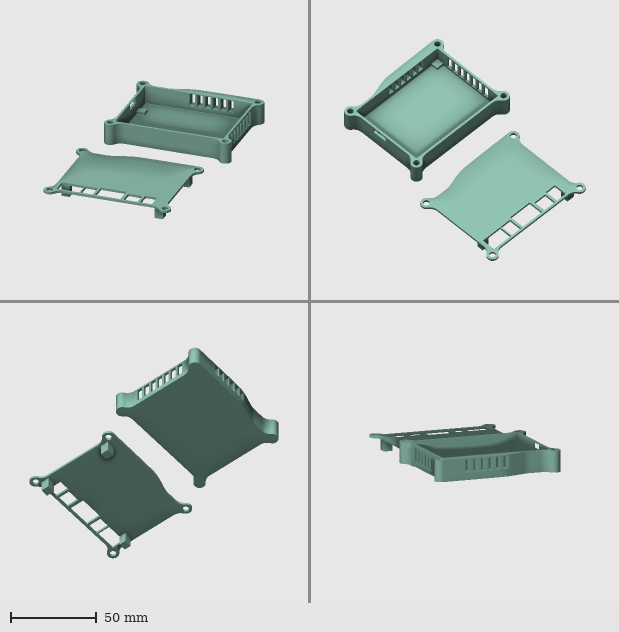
import cadquery as cq
import math

cavity_x = 66.9
cavity_y = 50.1
wall = 1.4
tray_height = 13.0
floor_thickness = 1.5

boss_offset = 2.3
boss_radius = 3.6
large_boss_radius = 3.7
screw_diameter = 3.9
blend_radius = 6.5

wave_start_x = -20.5
wave_points = [(-11.4, 28.6), (-4.4, 30.3), (6.0, 30.8)]

pad_length = 5.1
pad_width = 4.8
pad_height = 1.8
floor_fillet = 0.4
left_pad_centres_y = [12.5, -14.45]

vent_width = 3.5
side_vent_pitch = 5.0
side_vent_count = 7
side_vent_centre_y = 0.2
side_vent_bottom = 3.3
side_vent_top = 11.7
back_vent_pitch = 4.8
back_vent_count = 6
back_vent_right = 21.5
back_vent_bottom = 4.6
back_vent_top = 12.4

opening_width = 9.8
opening_centre_y = 4.2
opening_bottom = 8.75
opening_top = 12.4

lid_shift_x = -10.49
lid_shift_y = -73.48
lid_thickness = 1.5
leg_length = 7.3
windows = [
    (-32.3, 14.0, 9.0),
    (-17.5, 7.4, 9.0),
    (-8.5, 15.7, 10.2),
    (9.2, 8.6, 8.1),
    (19.4, 7.3, 9.0),
]
legs = [(-32.6, -16.05, 4.9, 4.4), (28.3, -24.8, 5.2, 5.2), (28.3, 19.8, 5.2, 5.2)]

half_x = cavity_x / 2
half_y = cavity_y / 2
outer_y = half_y + wall
boss_x = half_x + boss_offset
boss_y = half_y + boss_offset
boss_centres = [(sx * boss_x, sy * boss_y) for sx in (-1, 1) for sy in (-1, 1)]
back_y = boss_y + large_boss_radius


def blend_places(radius):
    """Tangent points of a blend, as (along, across) distances from the boss axis.

    "Along" runs parallel to the wall, "across" from the boss axis towards the wall's inner side.
    Returned: the point on the boss, the middle of the blend arc, the point on the wall.
    """
    overhang = boss_offset - wall
    centre_across = overhang - blend_radius
    reach = radius + blend_radius
    centre_along = math.sqrt(reach**2 - centre_across**2)
    on_boss = (centre_along * radius / reach, centre_across * radius / reach)
    on_wall = (centre_along, overhang)
    angle_to_boss = math.atan2(-centre_across, -centre_along)
    middle_angle = (angle_to_boss + math.pi / 2) / 2
    middle = (
        centre_along + blend_radius * math.cos(middle_angle),
        centre_across + blend_radius * math.sin(middle_angle),
    )
    return on_boss, middle, on_wall


def side_blend(sx, sy, radius):
    """Blend between a boss and the left or right wall, listed from the boss to the wall."""
    return [(sx * (boss_x - across), sy * (boss_y - along)) for along, across in blend_places(radius)]


def end_blend(sx, sy, radius):
    """Blend between a boss and the front or back wall, listed from the boss to the wall."""
    return [(sx * (boss_x - along), sy * (boss_y - across)) for along, across in blend_places(radius)]


def boss_outermost(sx, sy, radius):
    reach = radius / math.sqrt(2)
    return (sx * (boss_x + reach), sy * (boss_y + reach))


def round_corner(sketch, first_blend, outermost, second_blend):
    """Continue an outline along a wall, round a boss and onto the next wall."""
    boss_in, middle_in, wall_in = first_blend
    boss_out, middle_out, wall_out = second_blend
    sketch = sketch.lineTo(*wall_in).threePointArc(middle_in, boss_in)
    sketch = sketch.threePointArc(outermost, boss_out)
    return sketch.threePointArc(middle_out, wall_out)


def case_plate(thickness):
    """Plate with the case outline, drawn anticlockwise from the start of the wave."""
    r = boss_radius
    sketch = cq.Workplane("XY").moveTo(wave_start_x, outer_y)
    sketch = round_corner(sketch, end_blend(-1, 1, r), boss_outermost(-1, 1, r), side_blend(-1, 1, r))
    sketch = round_corner(sketch, side_blend(-1, -1, r), boss_outermost(-1, -1, r), end_blend(-1, -1, r))
    sketch = round_corner(sketch, end_blend(1, -1, r), boss_outermost(1, -1, r), side_blend(1, -1, r))
    boss_in, middle_in, wall_in = side_blend(1, 1, large_boss_radius)
    sketch = sketch.lineTo(*wall_in).threePointArc(middle_in, boss_in)
    sketch = sketch.threePointArc(boss_outermost(1, 1, large_boss_radius), (boss_x, back_y))
    sketch = sketch.spline(
        wave_points[::-1] + [(wave_start_x, outer_y)],
        tangents=[(-1, 0), (-1, 0)],
        includeCurrent=True,
    )
    return sketch.close().extrude(thickness)


def block(x_min, y_min, z_min, size_x, size_y, size_z):
    return cq.Workplane("XY").box(size_x, size_y, size_z, centered=False).translate((x_min, y_min, z_min))


def screw_holes(bottom, top):
    plane = cq.Workplane("XY", origin=(0, 0, bottom))
    return plane.pushPoints(boss_centres).circle(screw_diameter / 2).extrude(top - bottom)


def tray_cavity():
    """Hollow of the tray: the pads are left standing and the floor edges are rounded."""
    depth = tray_height - floor_thickness
    cavity = block(-half_x, -half_y, floor_thickness, cavity_x, cavity_y, depth)
    pad_corners = [(-half_x, y - pad_width / 2) for y in left_pad_centres_y]
    pad_corners += [(half_x - pad_length, y) for y in (-half_y, half_y - pad_width)]
    for x, y in pad_corners:
        cavity = cavity.cut(block(x, y, floor_thickness, pad_length, pad_width, pad_height))
    return cavity.faces("<Z").edges().fillet(floor_fillet)


def side_vents():
    vents = cq.Workplane("XY")
    for i in range(side_vent_count):
        centre_y = side_vent_centre_y + (i - (side_vent_count - 1) / 2) * side_vent_pitch
        y = centre_y - vent_width / 2
        vents = vents.add(
            block(half_x, y, side_vent_bottom, 2 * wall, vent_width, side_vent_top - side_vent_bottom)
        )
    return vents.combine()


def back_vents():
    vents = cq.Workplane("XY")
    for i in range(back_vent_count):
        x = back_vent_right - vent_width - i * back_vent_pitch
        vents = vents.add(
            block(x, half_y, back_vent_bottom, vent_width, back_y - half_y, back_vent_top - back_vent_bottom)
        )
    return vents.combine()


def make_tray():
    tray = case_plate(tray_height).cut(tray_cavity())
    tray = tray.cut(side_vents()).cut(back_vents())
    opening = block(
        -half_x - 2 * wall,
        opening_centre_y - opening_width / 2,
        opening_bottom,
        2 * wall,
        opening_width,
        opening_top - opening_bottom,
    )
    return tray.cut(opening).cut(screw_holes(floor_thickness, tray_height))


def make_lid():
    lid = case_plate(lid_thickness)
    for x, size_x, size_y in windows:
        lid = lid.cut(block(x, -half_y, 0, size_x, size_y, lid_thickness))
    lid = lid.cut(screw_holes(0, lid_thickness))
    for x, y, size_x, size_y in legs:
        lid = lid.union(block(x, y, -leg_length, size_x, size_y, leg_length))
    return lid.translate((lid_shift_x, lid_shift_y, 0))


tray = make_tray()
lid = make_lid()

result = cq.Compound.makeCompound([tray.val(), lid.val()])